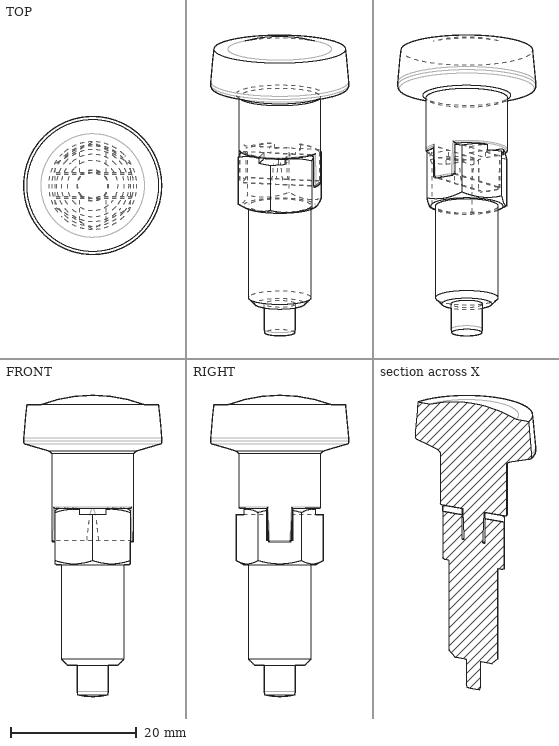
import cadquery as cq
import math


pin_diameter = 5.0
pin_length = 5.0
pin_tip_edge_diameter = 4.8
pin_tip_taper_length = 0.55
pin_tip_dome_height = 0.3

body_diameter = 10.0
body_length = 16.0
body_chamfer = 1.0

hex_across_flats = 12.0
hex_height = 9.0
hex_face_diameter = 11.5
hex_chamfer_angle = 30.0

slot_width = 4.2
deep_slot_depth = 5.1
shallow_slot_depth = 1.0

sleeve_diameter = 13.0
knob_diameter = 22.0
knob_top_diameter = 21.0
flange_diameter = 14.0
rim_lower_diameter = 21.5
neck_height = 8.7
neck_chamfer_height = 0.4
flange_height = 1.1
rim_round_height = 0.5
rim_band_height = 0.5
knob_side_height = 5.3
knob_side_bulge = 0.04
dome_diameter = 16.5
dome_height = 1.5

leg_length = 5.35
leg_root_width = 4.0
leg_end_width = 3.5
lower_edge_round = 0.2
spindle_diameter = 4.0

body_bottom = pin_length
hex_bottom = body_bottom + body_length
hex_top = hex_bottom + hex_height
leg_bottom = hex_top - leg_length
deep_slot_floor = hex_top - deep_slot_depth
neck_top = hex_top + neck_height
flange_bottom = neck_top + neck_chamfer_height
flange_top = flange_bottom + flange_height
rim_bottom = flange_top + rim_round_height
rim_top = rim_bottom + rim_band_height
knob_top = rim_top + knob_side_height


def make_pin():
    """Pin with a slightly tapered end and a domed tip."""
    radius = pin_diameter / 2
    edge_radius = pin_tip_edge_diameter / 2
    dome_radius = (edge_radius**2 + pin_tip_dome_height**2) / (2 * pin_tip_dome_height)
    middle_radius = edge_radius / 2
    middle_z = dome_radius - math.sqrt(dome_radius**2 - middle_radius**2)
    return (
        cq.Workplane("XZ")
        .threePointArc((middle_radius, middle_z), (edge_radius, pin_tip_dome_height))
        .lineTo(radius, pin_tip_dome_height + pin_tip_taper_length)
        .lineTo(radius, body_bottom)
        .lineTo(0, body_bottom)
        .close()
        .revolve(360, (0, 0), (0, 1))
    )


def make_body():
    """Cylindrical body with a chamfered lower end."""
    return (
        cq.Workplane("XY", origin=(0, 0, body_bottom))
        .circle(body_diameter / 2)
        .extrude(body_length)
        .faces("<Z")
        .chamfer(body_chamfer)
    )


def make_hexagon():
    """Hexagon with flats facing X, corners chamfered at both ends, and crossed slots on top."""
    corner_diameter = hex_across_flats / math.cos(math.pi / 6)
    prism = (
        cq.Workplane("XY", origin=(0, 0, hex_bottom))
        .transformed(rotate=(0, 0, 90))
        .polygon(6, corner_diameter)
        .extrude(hex_height)
    )
    envelope_margin = 1.0
    face_radius = hex_face_diameter / 2
    outer_radius = corner_diameter / 2 + envelope_margin
    chamfer_drop = (outer_radius - face_radius) * math.tan(math.radians(hex_chamfer_angle))
    envelope = (
        cq.Workplane("XZ")
        .moveTo(0, hex_bottom)
        .lineTo(face_radius, hex_bottom)
        .lineTo(outer_radius, hex_bottom + chamfer_drop)
        .lineTo(outer_radius, hex_top - chamfer_drop)
        .lineTo(face_radius, hex_top)
        .lineTo(0, hex_top)
        .close()
        .revolve(360, (0, 0), (0, 1))
    )
    upward = (True, True, False)
    deep_slot = cq.Workplane("XY", origin=(0, 0, deep_slot_floor)).box(
        2 * outer_radius, slot_width, deep_slot_depth, centered=upward
    )
    shallow_slot = cq.Workplane("XY", origin=(0, 0, hex_top - shallow_slot_depth)).box(
        slot_width, 2 * outer_radius, shallow_slot_depth, centered=upward
    )
    return prism.intersect(envelope).cut(deep_slot).cut(shallow_slot)


def make_knob():
    """Sleeve, flared flange, slightly tapered grip and domed cap, turned about Z."""
    sleeve_radius = sleeve_diameter / 2
    knob_radius = knob_diameter / 2
    top_radius = knob_top_diameter / 2
    lower_radius = rim_lower_diameter / 2
    dome_edge_radius = dome_diameter / 2
    dome_radius = (dome_edge_radius**2 + dome_height**2) / (2 * dome_height)
    dome_center_z = knob_top + dome_height - dome_radius
    dome_middle_x = dome_edge_radius / 2
    dome_middle_z = dome_center_z + math.sqrt(dome_radius**2 - dome_middle_x**2)
    diagonal = math.sqrt(0.5)
    rim_round_middle = (
        lower_radius + (knob_radius - lower_radius) * diagonal,
        rim_bottom - rim_round_height * diagonal,
    )
    side_middle = ((knob_radius + top_radius) / 2 + knob_side_bulge, (rim_top + knob_top) / 2)
    return (
        cq.Workplane("XZ")
        .moveTo(0, hex_top)
        .lineTo(sleeve_radius, hex_top)
        .lineTo(sleeve_radius, neck_top)
        .lineTo(flange_diameter / 2, flange_bottom)
        .lineTo(lower_radius, flange_top)
        .threePointArc(rim_round_middle, (knob_radius, rim_bottom))
        .lineTo(knob_radius, rim_top)
        .threePointArc(side_middle, (top_radius, knob_top))
        .lineTo(dome_edge_radius, knob_top)
        .threePointArc((dome_middle_x, dome_middle_z), (0, knob_top + dome_height))
        .close()
        .revolve(360, (0, 0), (0, 1))
    )


def make_legs():
    """Tapered cross bar along X, rounded to the sleeve, whose ends are the locking legs."""
    bar = (
        cq.Workplane("YZ")
        .moveTo(-leg_root_width / 2, hex_top)
        .lineTo(leg_root_width / 2, hex_top)
        .lineTo(leg_end_width / 2, leg_bottom)
        .lineTo(-leg_end_width / 2, leg_bottom)
        .close()
        .extrude(sleeve_diameter / 2, both=True)
    )
    sleeve = cq.Workplane("XY", origin=(0, 0, leg_bottom)).circle(sleeve_diameter / 2).extrude(leg_length)
    return bar.intersect(sleeve)


def make_spindle():
    """Central spindle joining the hexagon to the knob."""
    return cq.Workplane("XY", origin=(0, 0, leg_bottom)).circle(spindle_diameter / 2).extrude(leg_length)


def is_outer_lower_edge(edge):
    """True for an edge on the sleeve's outer cylinder, at or below the top of the hexagon."""
    tolerance = 0.01
    middle = edge.positionAt(0.5)
    on_cylinder = abs(math.hypot(middle.x, middle.y) - sleeve_diameter / 2) < tolerance
    return on_cylinder and middle.z < hex_top + tolerance


def make_knob_with_legs():
    """Knob and legs in one piece, with the outer lower edges of sleeve and legs rounded."""
    knob = make_knob().union(make_legs())
    lower_edges = [edge for edge in knob.edges().vals() if is_outer_lower_edge(edge)]
    return knob.newObject(lower_edges).fillet(lower_edge_round)


result = make_pin().union(make_body()).union(make_hexagon())
result = result.union(make_knob_with_legs()).union(make_spindle())